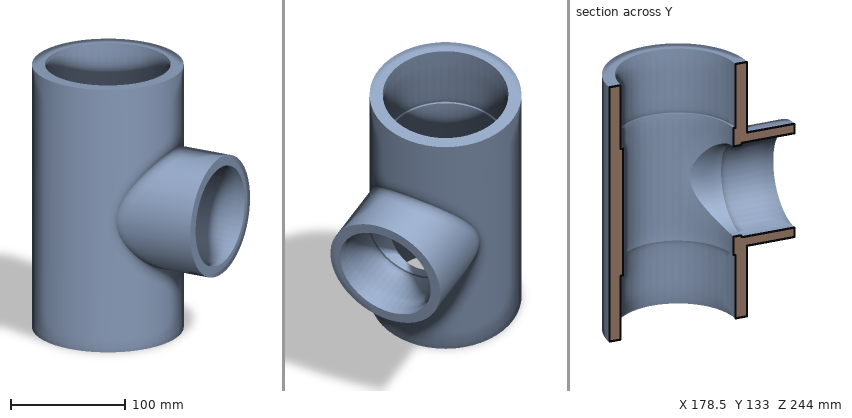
import cadquery as cq

run_length = 244.0
run_outer_diameter = 133.0
run_socket_diameter = 110.0
run_bore_diameter = 106.0
run_socket_depth = 61.0

branch_reach = 112.0
branch_outer_diameter = 109.0
branch_socket_diameter = 90.0
branch_bore_diameter = 86.0
branch_socket_depth = 51.0


def vertical_cylinder(diameter, bottom, top):
    """Cylinder on the run axis between two heights."""
    return cq.Workplane("XY").workplane(offset=bottom).circle(diameter / 2).extrude(top - bottom)


def branch_cylinder(diameter, start, end):
    """Cylinder on the branch axis between two X positions."""
    return cq.Workplane("YZ").workplane(offset=start).circle(diameter / 2).extrude(end - start)


def make_body():
    """Solid outer shape of the tee."""
    run = vertical_cylinder(run_outer_diameter, -run_length / 2, run_length / 2)
    branch = branch_cylinder(branch_outer_diameter, 0, branch_reach)
    return run.union(branch)


def cut_run(body):
    """Through bore of the run, with a wider socket at each end."""
    end = run_length / 2
    shoulder = end - run_socket_depth
    body = body.cut(vertical_cylinder(run_bore_diameter, -end, end))
    body = body.cut(vertical_cylinder(run_socket_diameter, shoulder, end))
    return body.cut(vertical_cylinder(run_socket_diameter, -end, -shoulder))


def cut_branch(body):
    """Branch bore opening into the run, with a wider socket at the branch end."""
    shoulder = branch_reach - branch_socket_depth
    body = body.cut(branch_cylinder(branch_bore_diameter, 0, branch_reach))
    return body.cut(branch_cylinder(branch_socket_diameter, shoulder, branch_reach))


result = cut_branch(cut_run(make_body()))